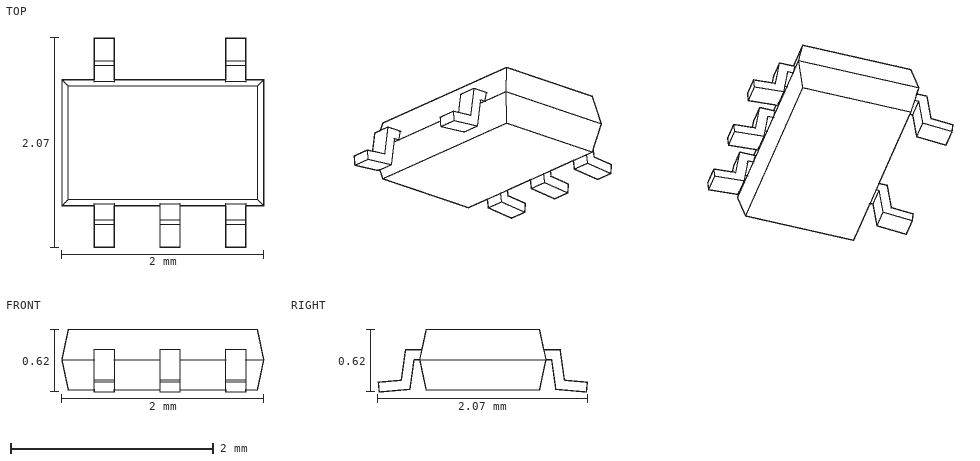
import cadquery as cq
import math

housing_length = 2.0
housing_width = 1.25
half_height = 0.3
draft_angle = 12

lead_width = 0.2
lead_thickness = 0.1
lead_pitch = 0.65
lead_row_offset = 0.07
shoulder_reach = 0.765
toe_reach = 1.035
toe_top_drop = 0.221
leg_angle = math.radians(8)
foot_angle = math.radians(5)


def make_housing_blank():
    """Two drafted halves meeting at the parting plane."""
    upper = (
        cq.Workplane("XY")
        .rect(housing_length, housing_width)
        .extrude(half_height, taper=draft_angle)
    )
    return upper.union(upper.mirror("XY"))


def leg_foot_corner(leg_y, foot_z):
    """Intersect a leg face (Y at Z = 0) with a foot face (Z at Y = toe_reach)."""
    leg_slope = math.tan(leg_angle)
    foot_slope = math.tan(foot_angle)
    z = (foot_z + foot_slope * (toe_reach - leg_y)) / (1 - foot_slope * leg_slope)
    return leg_y - leg_slope * z, z


def make_half_lead(x):
    """Gull-wing lead from the housing centre out to the foot on the -Y side."""
    outer_leg_y = shoulder_reach + lead_thickness * math.tan(leg_angle)
    inner_leg_y = outer_leg_y - lead_thickness / math.cos(leg_angle)
    foot_top_z = -toe_top_drop
    foot_bottom_z = foot_top_z - lead_thickness / math.cos(foot_angle)
    toe_bottom = (
        toe_reach - lead_thickness * math.sin(foot_angle),
        foot_top_z - lead_thickness * math.cos(foot_angle),
    )
    profile = [
        (0, 0),
        (inner_leg_y, 0),
        leg_foot_corner(inner_leg_y, foot_bottom_z),
        toe_bottom,
        (toe_reach, foot_top_z),
        leg_foot_corner(outer_leg_y, foot_top_z),
        (shoulder_reach, lead_thickness),
        (0, lead_thickness),
    ]
    return (
        cq.Workplane("YZ", origin=(x, 0, 0))
        .polyline([(-y, z) for y, z in profile])
        .close()
        .extrude(lead_width / 2, both=True)
    )


def make_through_lead(x):
    """Lead that crosses the housing and has a foot on both sides."""
    half = make_half_lead(x)
    return half.union(half.mirror("XZ")).clean()


middle_lead = make_half_lead(lead_row_offset)
through_leads = [
    make_through_lead(lead_row_offset + side * lead_pitch)
    for side in (-1, 1)
]

housing = make_housing_blank().cut(middle_lead)
for lead in through_leads:
    housing = housing.cut(lead)

result = cq.Compound.makeCompound(
    [
        housing.solids().val(),
        middle_lead.solids().val(),
        *[lead.solids().val() for lead in through_leads],
    ]
)